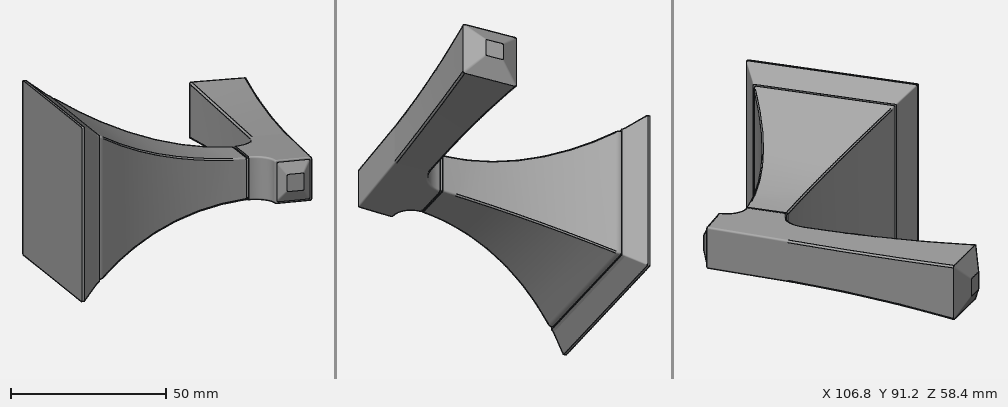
import cadquery as cq
import math


base_size = 58.4
base_half = base_size / 2
base_rim = 0.9
slope_top = 6.6
slope_top_half = 25.0
base_top = 7.7
base_top_half = 24.4
collar_half = 23.9
collar_middle = 8.6
collar_middle_half = 23.8
collar_top = 9.4
collar_top_half = 23.5

waist_height = 30.0
waist_half = 13.6
pedestal_top = 63.6
pedestal_top_half = 7.0
groove_top = 64.5
groove_half = 6.6
pedestal_corner_round = 0.5

tilt = 2.9
axis_height = 78.0
hub_half_height = 6.3
hub_half_depth = 7.3
hub_end = 13.7
arm_start = -14.9
arm_end = -73.9
arm_end_half = 9.5
arm_mid_sag = 0.5
lever_round = 0.6
hub_end_round = 0.4
hub_end_slant = hub_half_height * math.tan(math.radians(tilt))

neck_half = 6.8

arm_cap_length = 3.6
arm_cap_tip_half = 3.1
hub_cap_length = 2.1
hub_cap_tip_half = 2.9
hub_cap_inset = 0.6
cap_tip_round = 0.4


def pedestal_profile(plane):
    """Outline of the base and pedestal, mirrored about its height axis."""
    half = (
        cq.Workplane(plane)
        .lineTo(base_half, 0)
        .lineTo(base_half, base_rim)
        .lineTo(slope_top_half, slope_top)
        .lineTo(base_top_half, base_top)
        .lineTo(collar_half, base_top)
        .threePointArc((collar_middle_half, collar_middle), (collar_top_half, collar_top))
        .threePointArc((waist_half, waist_height), (pedestal_top_half, pedestal_top))
        .lineTo(groove_half, pedestal_top)
        .lineTo(groove_half, groove_top)
        .lineTo(0, groove_top)
    )
    return half.mirrorY()


def square_pedestal():
    """Two crossed extrusions leave a body that is square at every height."""
    across_z = pedestal_profile("XY").extrude(base_half, both=True)
    across_x = pedestal_profile("ZY").extrude(base_half, both=True)
    body = across_z.intersect(across_x)
    return body.edges("not (|X or |Z)").fillet(pedestal_corner_round)


def lever_profile(plane, hub_half, upper_end, lower_end):
    """Outline of hub and arm: straight along the hub, flaring towards the arm end."""
    arm_middle = (arm_start + arm_end) / 2
    arm_middle_half = (hub_half + arm_end_half) / 2 - arm_mid_sag
    return (
        cq.Workplane(plane)
        .moveTo(upper_end, hub_half)
        .lineTo(arm_start, hub_half)
        .threePointArc((arm_middle, arm_middle_half), (arm_end, arm_end_half))
        .lineTo(arm_end, -arm_end_half)
        .threePointArc((arm_middle, -arm_middle_half), (arm_start, -hub_half))
        .lineTo(lower_end, -hub_half)
        .close()
    )


def rounded_rectangle(half_height, half_depth, corner_round):
    """Rectangle with rounded corners, given by its half sizes."""
    return cq.Sketch().rect(2 * half_height, 2 * half_depth).vertices().fillet(corner_round)


def end_cap(direction, half_height, half_depth, tip_half, length):
    """Cut-off pyramid with rounded ridges, standing on the origin along +X or -X."""
    foot = rounded_rectangle(half_height, half_depth, lever_round)
    tip = rounded_rectangle(tip_half, tip_half, cap_tip_round)
    plane = cq.Plane((0, 0, 0), (0, 1, 0), (direction, 0, 0))
    return (
        cq.Workplane(plane)
        .placeSketch(foot, tip.moved(cq.Location(cq.Vector(0, 0, length))))
        .loft(ruled=True)
    )


def place_on_axis(body):
    """Tilt a body about Z and lift it to the height of the lever axis."""
    return body.rotate((0, 0, 0), (0, 0, 1), -tilt).translate((0, axis_height, 0))


def underside_point(position):
    """X and Y of the point on the hub's underside at a position along the lever."""
    angle = math.radians(tilt)
    x = position * math.cos(angle) - hub_half_height * math.sin(angle)
    y = axis_height - position * math.sin(angle) - hub_half_height * math.cos(angle)
    return x, y


def concave_middle(outer, side):
    """Middle of the arc that leaves the underside smoothly and ends at the foot of the neck."""
    foot = (side * neck_half, groove_top)
    run = abs(outer[0] - foot[0])
    rise = outer[1] - foot[1]
    steepness = math.atan2(rise, run)
    turn = steepness + side * math.radians(tilt)
    bulge = math.hypot(run, rise) / 2 * math.tan(turn / 2)
    x = (outer[0] + foot[0]) / 2 - side * bulge * math.sin(steepness)
    y = (outer[1] + foot[1]) / 2 + bulge * math.cos(steepness)
    return x, y


def neck():
    """Neck under the hub, its sides curving outwards into the hub's underside."""
    left = underside_point(arm_start)
    right = underside_point(hub_end + hub_end_slant)
    return (
        cq.Workplane("XY")
        .moveTo(-neck_half, groove_top)
        .threePointArc(concave_middle(left, -1), left)
        .lineTo(0, axis_height)
        .lineTo(*right)
        .threePointArc(concave_middle(right, 1), (neck_half, groove_top))
        .close()
        .extrude(hub_half_depth, both=True)
    )


def round_edges(body):
    """Round the edges along the arm, hub and neck, then the rim of the hub's end."""
    angle = math.radians(tilt)
    across_lever = cq.selectors.ParallelDirSelector(cq.Vector(math.sin(angle), math.cos(angle), 0))
    long_edges = body.edges("not (|X or |Y or |Z)").edges(-across_lever)
    return long_edges.fillet(lever_round).faces(">X").edges().fillet(hub_end_round)


def lever():
    """Hub, arm and neck with rounded long edges, and a cap on each end."""
    long_end = hub_end + hub_end_slant
    short_end = hub_end - hub_end_slant
    side = lever_profile("XY", hub_half_height, short_end, long_end).extrude(2 * arm_end_half, both=True)
    plan = lever_profile("XZ", hub_half_depth, long_end, long_end).extrude(2 * arm_end_half, both=True)
    beam = round_edges(place_on_axis(side.intersect(plan)).union(neck()))
    arm_cap = end_cap(-1, arm_end_half, arm_end_half, arm_cap_tip_half, arm_cap_length)
    hub_cap = end_cap(
        1,
        hub_half_height - hub_cap_inset,
        hub_half_depth - hub_cap_inset,
        hub_cap_tip_half,
        hub_cap_length,
    )
    hub_end_x = hub_end * math.cos(math.radians(tilt))
    hub_end_y = axis_height - hub_end * math.sin(math.radians(tilt))
    placed_arm_cap = place_on_axis(arm_cap.translate((arm_end, 0, 0)))
    placed_hub_cap = hub_cap.translate((hub_end_x, hub_end_y, 0))
    return beam.union(placed_arm_cap).union(placed_hub_cap)


result = square_pedestal().union(lever())